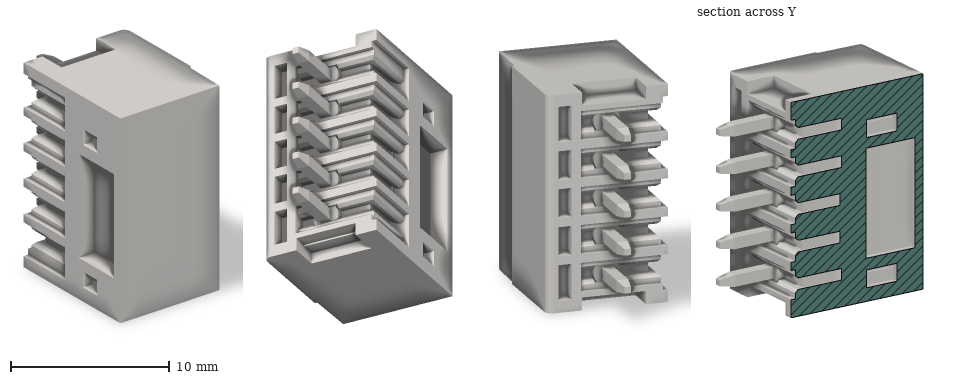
import cadquery as cq

body_length = 10.1
body_width = 8.1
body_height = 14.4
corner_radius = 0.49

step_start = 6.78
step_depth = 0.17
step_end_depth = 0.25

pin_count = 5
pitch = 2.5
pin_y = 3.9
pin_size = 0.78
pin_tip_size = 0.43
pin_reach = 3.5
pin_taper_length = 1.02

bay_depth = 0.35
bay_height = 1.93
bay_length_x = 4.32
bay_length_y = 5.8
end_bay_reach = 1.4

mouth_height = 1.18
throat_height = 0.75
floor_depth = 1.0
floor_curve_start = 3.44

ledge_pins = (2, 3)
ledge_start = 3.73
ledge_rise = 0.16

collar_radius = 0.88
collar_setback = 0.52

window_y_start = 6.44
window_width = 0.86
window_depth = floor_depth

notch_length = 2.02
notch_depth = 0.86
notch_y_start = 1.48
notch_y_end = 5.75
notch_step_height = 0.12
notch_step_x = notch_length / 2

pocket_x_start = 5.76
pocket_length = 3.67
pocket_height = 7.32
pocket_depth = 1.24
front_offset_z = -0.63
latch_x_start = 6.2
latch_length = 1.44
latch_height = 1.1
latch_offset_z = 2 * pitch
latch_edge_bevel = 0.06
latch_wall = 0.72
latch_chamber_depth = pocket_depth
latch_chamber_margin = 0.43
latch_chamber_drop = 0.07
latch_step_below_top = 0.32
latch_step_depth = 0.12

pin_heights = [((pin_count - 1) / 2 - index) * pitch for index in range(pin_count)]


def block(x_range, y_range, z_range):
    """Box between two limits on each axis."""
    lows, highs = zip(x_range, y_range, z_range)
    sizes = [high - low for low, high in zip(lows, highs)]
    return cq.Workplane("XY").box(*sizes, centered=False).translate(lows)


def centred(middle, height):
    return (middle - height / 2, middle + height / 2)


def make_housing():
    outline = (
        cq.Workplane("XY")
        .moveTo(0, 0)
        .lineTo(body_length, 0)
        .lineTo(body_length, body_width - step_end_depth)
        .lineTo(step_start, body_width - step_depth)
        .lineTo(step_start, body_width)
        .lineTo(corner_radius, body_width)
        .radiusArc((0, body_width - corner_radius), -corner_radius)
        .close()
    )
    return outline.extrude(body_height / 2, both=True)


def bay_limits(index):
    """Height range of the front recess and the blind window at one pin; those at
    the two ends of the row reach further outward."""
    low, high = centred(pin_heights[index], bay_height)
    if index == 0:
        high = pin_heights[index] + end_bay_reach
    if index == pin_count - 1:
        low = pin_heights[index] - end_bay_reach
    return (low, high)


def channel_outline():
    """L-shaped plan between the bay floor and the channel floor, whose far end
    curves up to the bay floor."""
    rise = floor_depth - bay_depth
    run = bay_length_x - floor_curve_start
    curve_radius = (run**2 + rise**2) / (2 * rise)
    return (
        cq.Workplane("XY")
        .moveTo(bay_depth, bay_depth)
        .lineTo(bay_length_x, bay_depth)
        .radiusArc((floor_curve_start, floor_depth), -curve_radius)
        .lineTo(floor_depth, floor_depth)
        .lineTo(floor_depth, bay_length_y)
        .lineTo(bay_depth, bay_length_y)
        .close()
    )


def make_bay(index):
    """Shallow recess on the -X face and its continuation on the front face."""
    side = block((0, bay_depth), (0, bay_length_y), centred(pin_heights[index], bay_height))
    front = block((0, bay_length_x), (0, bay_depth), bay_limits(index))
    return side.union(front)


def make_channel():
    """Channel of one bay about Z = 0: a straight throat behind a bevelled mouth."""
    throat = channel_outline().extrude(throat_height / 2, both=True)
    bevel = (mouth_height - throat_height) / 2
    bevel_end = bay_depth + bevel
    profile = [
        (bay_depth, mouth_height / 2),
        (bevel_end, throat_height / 2),
        (bevel_end, -throat_height / 2),
        (bay_depth, -mouth_height / 2),
    ]
    side_bevel = cq.Workplane("XZ").polyline(profile).close().extrude(-bay_length_y)
    front_bevel = cq.Workplane("YZ").polyline(profile).close().extrude(bay_length_x)
    mouth_limits = channel_outline().extrude(mouth_height / 2, both=True)
    return throat.union(side_bevel.union(front_bevel).intersect(mouth_limits))


def make_ledge(pin_z):
    """Flat step standing on the curved end of the channel floor."""
    ledge_y = floor_depth - ledge_rise
    return block((ledge_start, bay_length_x), (ledge_y, floor_depth), centred(pin_z, throat_height))


def make_collar_pocket():
    """Square-cornered clearance around the collar, about Z = 0."""
    return block(
        (bay_depth, floor_depth),
        centred(pin_y, 2 * collar_radius),
        centred(0, mouth_height),
    )


def make_collar():
    """Round collar at the root of a pin, flattened to the channel mouth height."""
    disc = cq.Workplane("YZ", origin=(collar_setback, pin_y, 0)).circle(collar_radius)
    disc = disc.extrude(floor_depth - collar_setback)
    return disc.intersect(make_collar_pocket())


def make_pin():
    """Square pin with a tapered tip, about Z = 0."""
    taper_start = pin_taper_length - pin_reach
    shank = block((taper_start, floor_depth), centred(pin_y, pin_size), centred(0, pin_size))
    tip = (
        cq.Workplane("YZ", origin=(taper_start, pin_y, 0))
        .rect(pin_size, pin_size)
        .workplane(offset=-pin_taper_length)
        .rect(pin_tip_size, pin_tip_size)
        .loft(combine=True)
    )
    return shank.union(tip)


def make_end_notches():
    """Notches in the top and bottom faces; the bottom one is shallower inside."""
    half = body_height / 2
    y_range = (notch_y_start, notch_y_end)
    top = block((0, notch_length), y_range, (half - notch_depth, half))
    bottom_outer = block((0, notch_step_x), y_range, (-half, notch_depth - half))
    inner_depth = notch_depth - notch_step_height
    bottom_inner = block((0, notch_length), y_range, (-half, inner_depth - half))
    return top.union(bottom_outer).union(bottom_inner)


def make_front_pocket():
    x_range = (pocket_x_start, pocket_x_start + pocket_length)
    return block(x_range, (0, pocket_depth), centred(front_offset_z, pocket_height))


def make_latch_opening(middle_z):
    """Bevelled opening through the front wall into a wider, stepped chamber."""
    left, right = latch_x_start, latch_x_start + latch_length
    bottom, top = centred(middle_z, latch_height)
    middle_x = (left + right) / 2
    rim = (
        cq.Workplane("XZ", origin=(middle_x, 0, middle_z))
        .rect(latch_length, latch_height)
        .extrude(-latch_edge_bevel, taper=45)
    )
    inner = block(
        (left + latch_edge_bevel, right - latch_edge_bevel),
        (0, latch_wall),
        (bottom + latch_edge_bevel, top - latch_edge_bevel),
    )

    chamber_x = (left - latch_chamber_margin, right + latch_chamber_margin)
    chamber_z = (bottom - latch_chamber_drop, top)
    chamber = block(chamber_x, (latch_wall, latch_chamber_depth), chamber_z)
    step_z = (top - latch_step_below_top, top)
    step_end = latch_chamber_depth + latch_step_depth
    step = block(chamber_x, (latch_wall, step_end), step_z)
    return inner.union(rim).union(chamber).union(step)


result = make_housing()
result = result.cut(make_end_notches()).cut(make_front_pocket())
for side in (1, -1):
    result = result.cut(make_latch_opening(front_offset_z + side * latch_offset_z))

for index, pin_z in enumerate(pin_heights):
    window_y = (window_y_start, window_y_start + window_width)
    window = block((0, window_depth), window_y, bay_limits(index))
    shift = (0, 0, pin_z)
    result = result.cut(make_bay(index)).cut(window)
    result = result.cut(make_channel().translate(shift))
    result = result.cut(make_collar_pocket().translate(shift))
    if index in ledge_pins:
        result = result.union(make_ledge(pin_z))
    result = result.union(make_collar().translate(shift))
    result = result.union(make_pin().translate(shift))